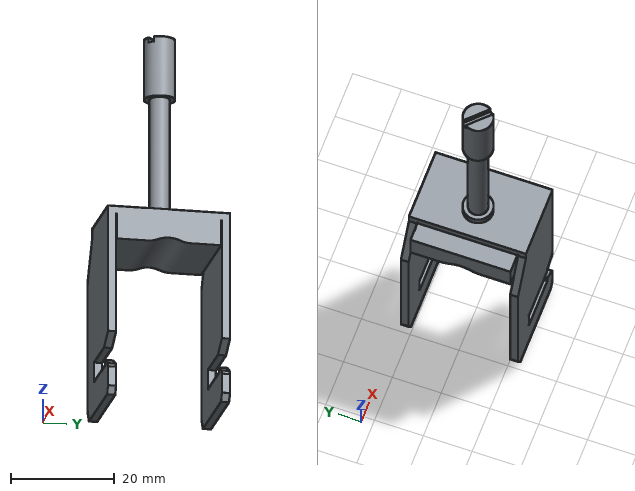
import cadquery as cq
import math

DEPTH = 19.5
WIDTH = 24.0
BRACKET_HEIGHT = 38.0
SHEET = 1.6
WEB_BOTTOM = BRACKET_HEIGHT - SHEET
WEB_FRONT = 4.5
WEB_FRONT_LAND = 1.8

STEEP = math.tan(math.radians(60))
SHALLOW = math.tan(math.radians(30))

TOE_CHAMFER = 1.4
HEEL_CHAMFER = 0.9

SLOT_FRONT = 6.2
SLOT_BOTTOM = 6.5
SLOT_TOP = 10.4
SLOT_MOUTH = 15.7
BARB_X = 16.5
BARB_HEIGHT = 1.15
BARB_TIP_CHAMFER = 0.45

BLOCK_FRONT = 0.6
BLOCK_WIDTH = 20.5
BLOCK_HEIGHT = 5.0
ARCH_WIDTH = 8.4
ARCH_RISE = 0.85

SCREW_X = 10.5
COLLAR_DIAMETER = 6.0
COLLAR_HEIGHT = 1.4
ROD_DIAMETER = 4.0
HEAD_DIAMETER = 6.0
HEAD_HEIGHT = 12.0
TOTAL_HEIGHT = 75.0
DRIVER_SLOT_WIDTH = 1.2
DRIVER_SLOT_DEPTH = 1.0
DRIVER_SLOT_ANGLE = -45.0


def extrude_across(sketch, width):
    """Extrude an XZ outline by width, centred on Y = 0."""
    return sketch.extrude(width / 2, both=True)


def side_profile():
    """Outline of a side plate in the XZ plane."""
    slope_top = BRACKET_HEIGHT - WEB_FRONT_LAND
    barb_tip = SLOT_BOTTOM + BARB_HEIGHT
    barb_back = DEPTH - BARB_TIP_CHAMFER
    barb_back_z = barb_tip - (barb_back - BARB_X) * SHALLOW
    return (
        cq.Workplane("XZ")
        .moveTo(TOE_CHAMFER, 0)
        .lineTo(DEPTH - HEEL_CHAMFER, 0)
        .lineTo(DEPTH, HEEL_CHAMFER * STEEP)
        .lineTo(DEPTH, barb_back_z - BARB_TIP_CHAMFER * STEEP)
        .lineTo(barb_back, barb_back_z)
        .lineTo(BARB_X, barb_tip)
        .lineTo(BARB_X, SLOT_BOTTOM)
        .lineTo(SLOT_FRONT, SLOT_BOTTOM)
        .lineTo(SLOT_FRONT, SLOT_TOP)
        .lineTo(SLOT_MOUTH, SLOT_TOP)
        .lineTo(DEPTH, SLOT_TOP + (DEPTH - SLOT_MOUTH) * SHALLOW)
        .lineTo(DEPTH, BRACKET_HEIGHT)
        .lineTo(WEB_FRONT, BRACKET_HEIGHT)
        .lineTo(WEB_FRONT, slope_top)
        .lineTo(0, slope_top - WEB_FRONT * STEEP)
        .lineTo(0, TOE_CHAMFER * STEEP)
        .close()
    )


def make_bracket():
    """Full-width profile with the space between the plates cleared below the web."""
    body = extrude_across(side_profile(), WIDTH)
    opening = cq.Workplane("XY").box(
        DEPTH, WIDTH - 2 * SHEET, WEB_BOTTOM, centered=(False, True, False)
    )
    return body.cut(opening)


def make_block():
    """Block with a smooth arched hollow along its underside."""
    bottom = WEB_BOTTOM - BLOCK_HEIGHT
    half_block = BLOCK_WIDTH / 2
    half_arch = ARCH_WIDTH / 2
    quarter = half_arch / 2
    inflection_z = bottom + ARCH_RISE / 2
    return (
        cq.Workplane("YZ", origin=(BLOCK_FRONT, 0, 0))
        .moveTo(-half_block, WEB_BOTTOM)
        .lineTo(-half_block, bottom)
        .lineTo(-half_arch, bottom)
        .tangentArcPoint((-quarter, inflection_z), relative=False)
        .threePointArc((0, bottom + ARCH_RISE), (quarter, inflection_z))
        .tangentArcPoint((half_arch, bottom), relative=False)
        .lineTo(half_block, bottom)
        .lineTo(half_block, WEB_BOTTOM)
        .close()
        .extrude(DEPTH - BLOCK_FRONT)
    )


def make_cylinder(diameter, bottom, top):
    """Vertical cylinder on the screw axis."""
    return (
        cq.Workplane("XY", origin=(SCREW_X, 0, bottom))
        .circle(diameter / 2)
        .extrude(top - bottom)
    )


def make_screw():
    """Collar, rod and slotted head."""
    head_bottom = TOTAL_HEIGHT - HEAD_HEIGHT
    collar = make_cylinder(COLLAR_DIAMETER, BRACKET_HEIGHT, BRACKET_HEIGHT + COLLAR_HEIGHT)
    rod = make_cylinder(ROD_DIAMETER, BRACKET_HEIGHT, head_bottom)
    head = make_cylinder(HEAD_DIAMETER, head_bottom, TOTAL_HEIGHT)
    driver_slot = (
        cq.Workplane("XY")
        .box(2 * HEAD_DIAMETER, DRIVER_SLOT_WIDTH, DRIVER_SLOT_DEPTH, centered=(True, True, False))
        .rotate((0, 0, 0), (0, 0, 1), DRIVER_SLOT_ANGLE)
        .translate((SCREW_X, 0, TOTAL_HEIGHT - DRIVER_SLOT_DEPTH))
    )
    return collar.union(rod).union(head.cut(driver_slot))


result = make_bracket().union(make_block()).union(make_screw())